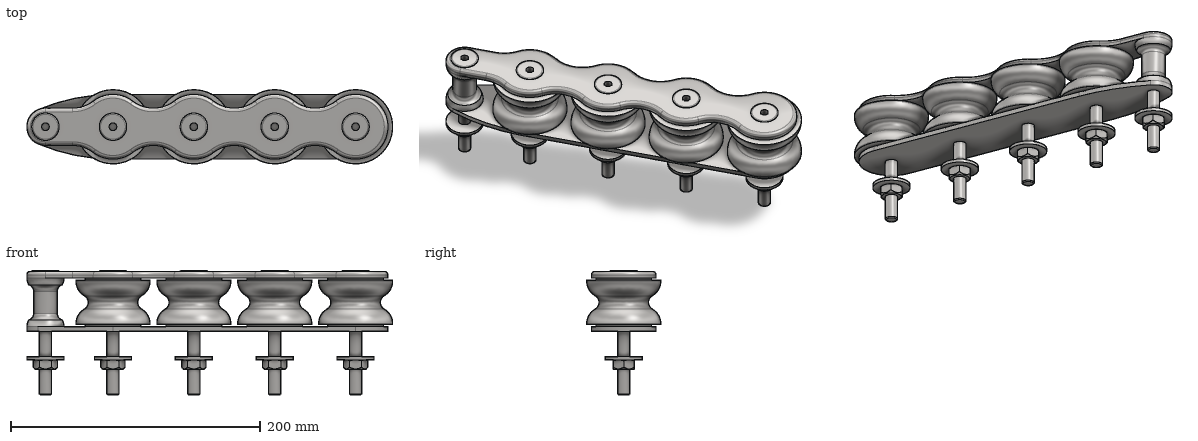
import cadquery as cq
import math

total_length = 293.8
roller_count = 4
roller_pitch = 65.0
roller_diameter = 59.5
post_diameter = 30.0

nut_bottom = 20.3
nut_height = 8.0
washer_thickness = 2.5
base_bottom = 51.0
base_thickness = 3.8
spacer_height = 1.5
roller_height = 35.8
cover_thickness = 5.5
head_height = 0.5

plate_width = 52.0
cover_waist_width = post_diameter
cover_edge_fillet = 3.0

spacer_diameter = 45.0
roller_rim_height = 1.0
roller_joint_diameter = 45.8
roller_waist_diameter = 40.0
roller_groove_height = 10.5

post_joint_diameter = 27.0
post_shaft_diameter = 19.0
post_shaft_height = 17.5
post_flange_height = 5.3

arc_merge_gap = 0.03

bolt_diameter = 10.0
bolt_tip_chamfer = 1.0
washer_diameter = 30.0
nut_across_flats = 17.0
nut_lower_face_diameter = 16.0
nut_lower_chamfer_height = 2.0
nut_upper_chamfer_height = 1.0
head_diameter = 22.0
head_top_diameter = 20.0
head_bevel_height = 0.3
head_socket_diameter = 6.2
head_socket_depth = 6.0

base_top = base_bottom + base_thickness
roller_bottom = base_top + spacer_height
roller_top = roller_bottom + roller_height
cover_bottom = roller_top + spacer_height
cover_top = cover_bottom + cover_thickness
head_top = cover_top + head_height
mid_height = (base_top + cover_bottom) / 2
nut_top = nut_bottom + nut_height
post_radius = post_diameter / 2
plate_radius = plate_width / 2
last_roller_x = total_length - post_radius - roller_diameter / 2
roller_xs = [last_roller_x - i * roller_pitch for i in reversed(range(roller_count))]
first_roller_x = roller_xs[0]
bolt_xs = [0] + roller_xs


def disc(diameter, bottom, height):
    return cq.Workplane("XY").workplane(offset=bottom).circle(diameter / 2).extrude(height)


def base_plate():
    """Flat plate: a bowed taper runs from the post end to the first roller, then straight sides."""
    widening = plate_radius - post_radius
    bow_radius = (first_roller_x**2 + plate_radius**2 - post_radius**2) / (2 * widening)
    bow_center_y = plate_radius - bow_radius
    bow_start_angle = math.atan2(-bow_center_y, -first_roller_x)
    bow_mid_angle = (bow_start_angle + math.pi / 2) / 2
    start_x = post_radius * math.cos(bow_start_angle)
    start_y = post_radius * math.sin(bow_start_angle)
    mid_x = first_roller_x + bow_radius * math.cos(bow_mid_angle)
    mid_y = bow_center_y + bow_radius * math.sin(bow_mid_angle)
    return (
        cq.Workplane("XY")
        .workplane(offset=base_bottom)
        .moveTo(start_x, start_y)
        .threePointArc((mid_x, mid_y), (first_roller_x, plate_radius))
        .lineTo(last_roller_x, plate_radius)
        .threePointArc((last_roller_x + plate_radius, 0), (last_roller_x, -plate_radius))
        .lineTo(first_roller_x, -plate_radius)
        .threePointArc((mid_x, -mid_y), (start_x, -start_y))
        .threePointArc((-post_radius, 0), (start_x, start_y))
        .close()
        .extrude(base_thickness)
    )


def cover_plate():
    """Scalloped plate: round lobes over the rollers joined by tangent valleys."""
    waist = cover_waist_width / 2
    half_pitch = roller_pitch / 2
    valley_radius = (half_pitch**2 + waist**2 - plate_radius**2) / (2 * (plate_radius - waist))
    lobe_share = plate_radius / (plate_radius + valley_radius)
    tangent_x = half_pitch * lobe_share
    tangent_y = (waist + valley_radius) * lobe_share

    outline = cq.Workplane("XY").workplane(offset=cover_bottom).moveTo(0, waist)
    outline = outline.lineTo(first_roller_x - half_pitch, waist)
    for x in roller_xs:
        outline = outline.tangentArcPoint((x - tangent_x, tangent_y), relative=False)
        if x == last_roller_x:
            break
        outline = outline.threePointArc((x, plate_radius), (x + tangent_x, tangent_y))
        outline = outline.tangentArcPoint((x + half_pitch, waist), relative=False)
    far_end = (last_roller_x + plate_radius, 0)
    outline = outline.threePointArc(far_end, (last_roller_x - tangent_x, -tangent_y))
    for x in reversed(roller_xs):
        if x != last_roller_x:
            outline = outline.tangentArcPoint((x + tangent_x, -tangent_y), relative=False)
            outline = outline.threePointArc((x, -plate_radius), (x - tangent_x, -tangent_y))
        outline = outline.tangentArcPoint((x - half_pitch, -waist), relative=False)
    outline = outline.lineTo(0, -waist)
    outline = outline.threePointArc((-post_radius, 0), (0, waist)).close()
    return outline.extrude(cover_thickness).faces(">Z").edges().fillet(cover_edge_fillet)


def arc_middle(step, rise):
    """Radial and axial distance from the vertical end of an arc to its middle.
    The arc moves sideways by step while it climbs by rise."""
    turn = 2 * math.atan(step / rise)
    radius = rise / math.sin(turn)
    return radius * (1 - math.cos(turn / 2)), radius * math.sin(turn / 2)


def spool(outer_radius, joint_radius, inner_radius, height, rim_height, bulge_height, hollow_height):
    """Turned body, symmetric about mid_height. Each rim narrows in a convex bulge that starts
    vertically, then in a concave hollow that runs out vertically at the inner radius.
    Any height left between the two hollows is a plain shaft."""
    half_height = height / 2
    rim_z = half_height - rim_height
    joint_z = rim_z - bulge_height
    shaft_z = joint_z - hollow_height
    bulge_step, bulge_drop = arc_middle(outer_radius - joint_radius, bulge_height)
    hollow_step, hollow_rise = arc_middle(joint_radius - inner_radius, hollow_height)
    bulge_mid_r = outer_radius - bulge_step
    bulge_mid_z = rim_z - bulge_drop
    hollow_mid_r = inner_radius + hollow_step
    hollow_mid_z = shaft_z + hollow_rise

    profile = cq.Workplane("XZ").moveTo(0, -half_height).lineTo(outer_radius, -half_height)
    if rim_height > 0:
        profile = profile.lineTo(outer_radius, -rim_z)
    profile = profile.threePointArc((bulge_mid_r, -bulge_mid_z), (joint_radius, -joint_z))
    if shaft_z > arc_merge_gap:
        profile = profile.threePointArc((hollow_mid_r, -hollow_mid_z), (inner_radius, -shaft_z))
        profile = profile.lineTo(inner_radius, shaft_z)
        profile = profile.threePointArc((hollow_mid_r, hollow_mid_z), (joint_radius, joint_z))
    else:
        profile = profile.threePointArc((inner_radius, 0), (joint_radius, joint_z))
    profile = profile.threePointArc((bulge_mid_r, bulge_mid_z), (outer_radius, rim_z))
    if rim_height > 0:
        profile = profile.lineTo(outer_radius, half_height)
    profile = profile.lineTo(0, half_height).close()
    return profile.revolve(360, (0, 0, 0), (0, 1, 0)).translate((0, 0, mid_height))


def roller():
    """V-grooved roller held off both plates by a spacer collar above and below."""
    hollow_height = roller_groove_height / 2
    bulge_height = roller_height / 2 - roller_rim_height - hollow_height
    body = spool(
        roller_diameter / 2,
        roller_joint_diameter / 2,
        roller_waist_diameter / 2,
        roller_height,
        roller_rim_height,
        bulge_height,
        hollow_height,
    )
    lower_spacer = disc(spacer_diameter, base_top, spacer_height)
    upper_spacer = disc(spacer_diameter, roller_top, spacer_height)
    return body.union(lower_spacer).union(upper_spacer)


def post():
    """Guide post that flares to the full plate end at both plates."""
    post_height = cover_bottom - base_top
    hollow_height = (post_height - post_shaft_height) / 2 - post_flange_height
    return spool(
        post_radius,
        post_joint_diameter / 2,
        post_shaft_diameter / 2,
        post_height,
        0,
        post_flange_height,
        hollow_height,
    )


def nut():
    """Hexagon with corners on the X axis, its corners turned off conically below and above."""
    across_corners = nut_across_flats / math.cos(math.pi / 6)
    hexagon = cq.Workplane("XY").workplane(offset=nut_bottom).polygon(6, across_corners).extrude(nut_height)
    corner = across_corners / 2
    envelope = (
        cq.Workplane("XZ")
        .moveTo(0, nut_bottom)
        .lineTo(nut_lower_face_diameter / 2, nut_bottom)
        .lineTo(corner, nut_bottom + nut_lower_chamfer_height)
        .lineTo(corner, nut_top - nut_upper_chamfer_height)
        .lineTo(nut_across_flats / 2, nut_top)
        .lineTo(0, nut_top)
        .close()
        .revolve(360, (0, 0, 0), (0, 1, 0))
    )
    return hexagon.intersect(envelope)


def bolt():
    shank = disc(bolt_diameter, 0, base_top).faces("<Z").chamfer(bolt_tip_chamfer)
    washer = disc(washer_diameter, nut_top, washer_thickness)
    return shank.union(washer).union(nut())


def head():
    """Round head that passes through the cover plate and stands proud with a bevelled rim."""
    bevel_width = (head_diameter - head_top_diameter) / 2
    blank = disc(head_diameter, cover_bottom, head_top - cover_bottom)
    return blank.faces(">Z").chamfer(head_bevel_height, bevel_width)


def head_socket():
    return disc(head_socket_diameter, head_top - head_socket_depth, head_socket_depth)


result = base_plate().union(cover_plate()).union(post())
for x in roller_xs:
    result = result.union(roller().translate((x, 0, 0)))
for x in bolt_xs:
    result = result.union(bolt().translate((x, 0, 0)))
    result = result.union(head().translate((x, 0, 0)))
    result = result.cut(head_socket().translate((x, 0, 0)))